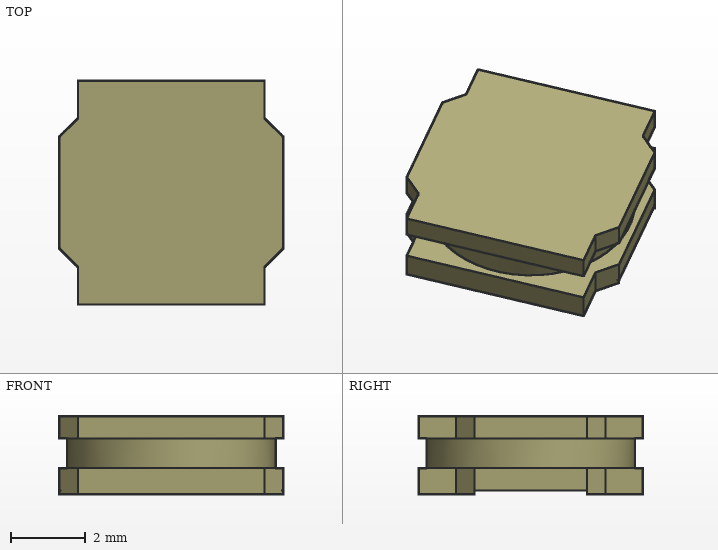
import cadquery as cq

side = 6.0
total_height = 2.1
flange_thickness = 0.6
pad_thickness = 0.1
core_diameter = 5.6
end_width = 5.0
shoulder_length = 3.0
notch_start = 2.0

half_side = side / 2
half_end = end_width / 2
half_shoulder = shoulder_length / 2
upper_flange_base = total_height - flange_thickness
lower_flange_top = pad_thickness + flange_thickness


def flange_plate(base, thickness):
    """Square plate with a stepped and sloped notch at each corner."""
    quarter = [
        (half_side, half_shoulder),
        (half_end, notch_start),
        (half_end, half_side),
    ]
    right_half = [(x, -y) for x, y in reversed(quarter)] + quarter
    left_half = [(-x, -y) for x, y in right_half]
    return (
        cq.Workplane("XY")
        .workplane(offset=base)
        .polyline(right_half + left_half)
        .close()
        .extrude(thickness)
    )


def terminal_pads():
    """Two thin pads under the ends, following the flange outline."""
    centre_gap = cq.Workplane("XY").box(
        side, shoulder_length, pad_thickness, centered=(True, True, False)
    )
    return flange_plate(0, pad_thickness).cut(centre_gap)


core = (
    cq.Workplane("XY")
    .workplane(offset=lower_flange_top)
    .circle(core_diameter / 2)
    .extrude(upper_flange_base - lower_flange_top)
)

lower_flange = flange_plate(pad_thickness, flange_thickness)
upper_flange = flange_plate(upper_flange_base, flange_thickness)

result = lower_flange.union(core).union(upper_flange).union(terminal_pads(), clean=False)